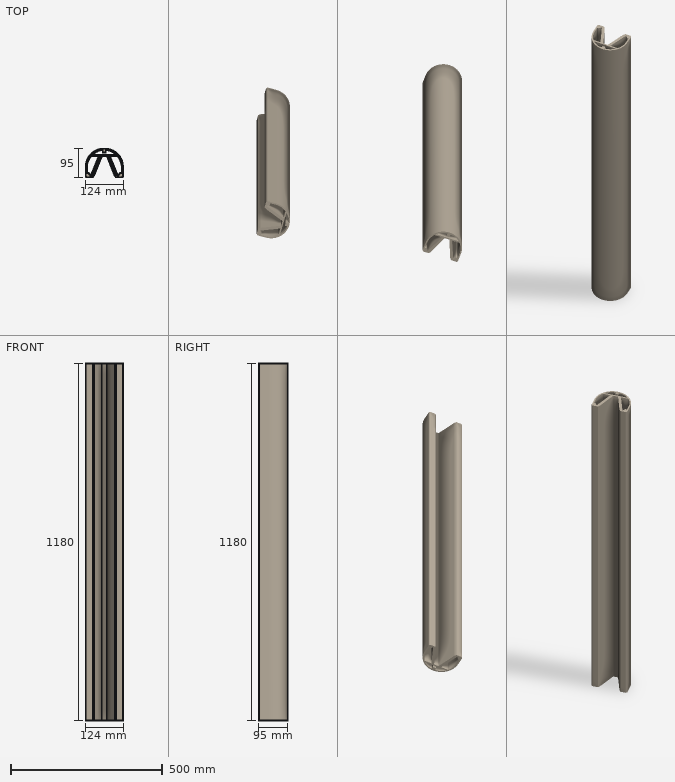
import cadquery as cq
import math

LENGTH = 1180.0
WIDTH = 124.0
DEPTH = 95.0
WALL = 5.0

OUTER_R = WIDTH / 2
INNER_R = OUTER_R - WALL
FRONT_Y = OUTER_R - DEPTH

BRIDGE_FRONT_Y = 37.0
BRIDGE_BACK_Y = BRIDGE_FRONT_Y + WALL
CROWN_RIB_WIDTH = 11.0
CROWN_RIB_FRONT_Y = 48.0
CROWN_PAD_WIDTH = 40.0
CROWN_PAD_FRONT_Y = 55.0

LEG_ANGLE = 22.0
STRIP_TOP_X = 8.0
STRIP_THICKNESS = 5.0
STRIP_FRONT_Y = -27.0
WEB_THICKNESS = 5.0

FOOT_BACK_Y = -19.0
FOOT_LEDGE_X = 52.0
FOOT_VALLEY_Y = -28.0
FOOT_TIP_X = 39.0
FOOT_CORNER_R = 6.0

LEG_SLOPE = math.tan(math.radians(LEG_ANGLE))
LEG_COS = math.cos(math.radians(LEG_ANGLE))


def leg_x(offset, y):
    """X of the right leg's plane lying `offset` behind the strip's inner face."""
    return STRIP_TOP_X + offset / LEG_COS + (BRIDGE_FRONT_Y - y) * LEG_SLOPE


def extrude_polygon(points):
    return cq.Workplane("XY").polyline(points).close().extrude(LENGTH)


def block(width, front_y, back_y):
    """Full-length block centred on X."""
    depth = back_y - front_y
    return cq.Workplane("XY").center(0, (front_y + back_y) / 2).rect(width, depth).extrude(LENGTH)


def arch(radius):
    """Solid half-round with straight sides down to the front plane."""
    return (
        cq.Workplane("XY")
        .moveTo(-radius, FRONT_Y)
        .lineTo(-radius, 0)
        .threePointArc((0, radius), (radius, 0))
        .lineTo(radius, FRONT_Y)
        .close()
        .extrude(LENGTH)
    )


def make_web():
    """Right-hand slanted web behind the strip."""
    back = STRIP_THICKNESS + WEB_THICKNESS
    return extrude_polygon([
        (leg_x(STRIP_THICKNESS, BRIDGE_BACK_Y), BRIDGE_BACK_Y),
        (leg_x(back, BRIDGE_BACK_Y), BRIDGE_BACK_Y),
        (leg_x(back, FOOT_VALLEY_Y), FOOT_VALLEY_Y),
        (leg_x(STRIP_THICKNESS, STRIP_FRONT_Y), STRIP_FRONT_Y),
    ])


def make_foot():
    """Right-hand foot, which also supports the strip's front end."""
    return extrude_polygon([
        (OUTER_R, FRONT_Y),
        (OUTER_R, FOOT_BACK_Y),
        (FOOT_LEDGE_X, FOOT_BACK_Y),
        (leg_x(STRIP_THICKNESS + WEB_THICKNESS, FOOT_VALLEY_Y), FOOT_VALLEY_Y),
        (leg_x(STRIP_THICKNESS, STRIP_FRONT_Y), STRIP_FRONT_Y),
        (leg_x(0, STRIP_FRONT_Y), STRIP_FRONT_Y),
        (FOOT_TIP_X, FRONT_Y),
    ])


def make_profile():
    cavity = arch(INNER_R)
    bridge = block(WIDTH, BRIDGE_FRONT_Y, BRIDGE_BACK_Y)
    crown_pad = block(CROWN_PAD_WIDTH, CROWN_PAD_FRONT_Y, OUTER_R)
    crown_rib = block(CROWN_RIB_WIDTH, CROWN_RIB_FRONT_Y, OUTER_R)
    cross_members = bridge.union(crown_pad).union(crown_rib).intersect(arch(OUTER_R))
    right_side = make_web().union(make_foot())
    left_side = right_side.mirror("YZ")
    profile = arch(OUTER_R).cut(cavity).union(cross_members).union(right_side).union(left_side)
    envelope = arch(OUTER_R).edges("|Z and <Y").fillet(FOOT_CORNER_R)
    return profile.intersect(envelope)


def make_strip(side):
    """Flat strip on one leg; `side` is +1 for right and -1 for left."""
    return extrude_polygon([
        (side * leg_x(0, BRIDGE_FRONT_Y), BRIDGE_FRONT_Y),
        (side * leg_x(STRIP_THICKNESS, BRIDGE_FRONT_Y), BRIDGE_FRONT_Y),
        (side * leg_x(STRIP_THICKNESS, STRIP_FRONT_Y), STRIP_FRONT_Y),
        (side * leg_x(0, STRIP_FRONT_Y), STRIP_FRONT_Y),
    ])


profile = make_profile()
strips = [make_strip(side) for side in (-1, 1)]

result = cq.Compound.makeCompound([profile.val(), *[strip.val() for strip in strips]])